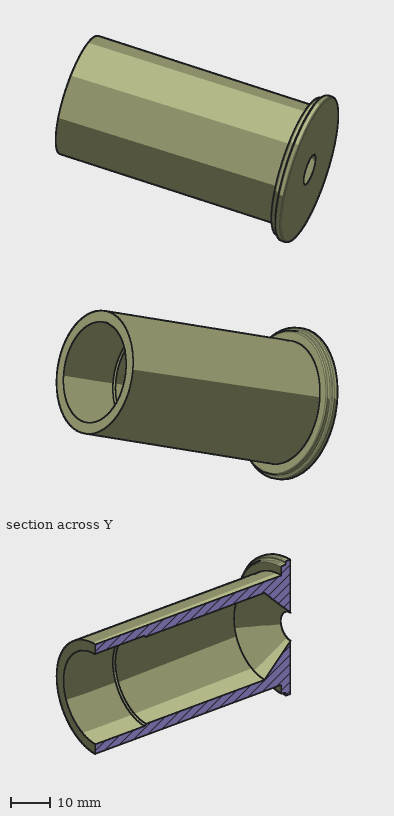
import cadquery as cq
length = 63.5
tube_radius = 31.75 / 2
rim_radius = 39.0 / 2
collar_radius = 37.0 / 2

collar_start = 60.45
rim_start = 61.9
round_radius = 0.3

inlet_radius = 26.0 / 2
inlet_depth = 16.0
chamber_radius = 25.0 / 2
outlet_radius = 8.0 / 2

chamber_start = inlet_depth + inlet_radius - chamber_radius
cone_start = length - (chamber_radius - outlet_radius)


def disc(start, end, radius):
    """Solid cylinder along X between two positions."""
    return cq.Workplane("YZ", origin=(start, 0, 0)).circle(radius).extrude(end - start)


def flange():
    """Collar and rim with rounded outer edges and a fillet in the corner between them."""
    collar = disc(collar_start, rim_start, collar_radius).faces("<X").edges().fillet(round_radius)
    rim = disc(rim_start, length, rim_radius).edges().fillet(round_radius)
    corner = cq.selectors.NearestToPointSelector((rim_start, 0, 0))
    return collar.union(rim).edges(corner).fillet(round_radius)


def bore():
    """Through bore, revolved from its half profile."""
    profile = [
        (0, 0),
        (0, inlet_radius),
        (inlet_depth, inlet_radius),
        (chamber_start, chamber_radius),
        (cone_start, chamber_radius),
        (length, outlet_radius),
        (length, 0),
    ]
    return cq.Workplane("XY").polyline(profile).close().revolve(360, (0, 0, 0), (1, 0, 0))


tube = disc(0, length, tube_radius)
result = tube.union(flange()).cut(bore())